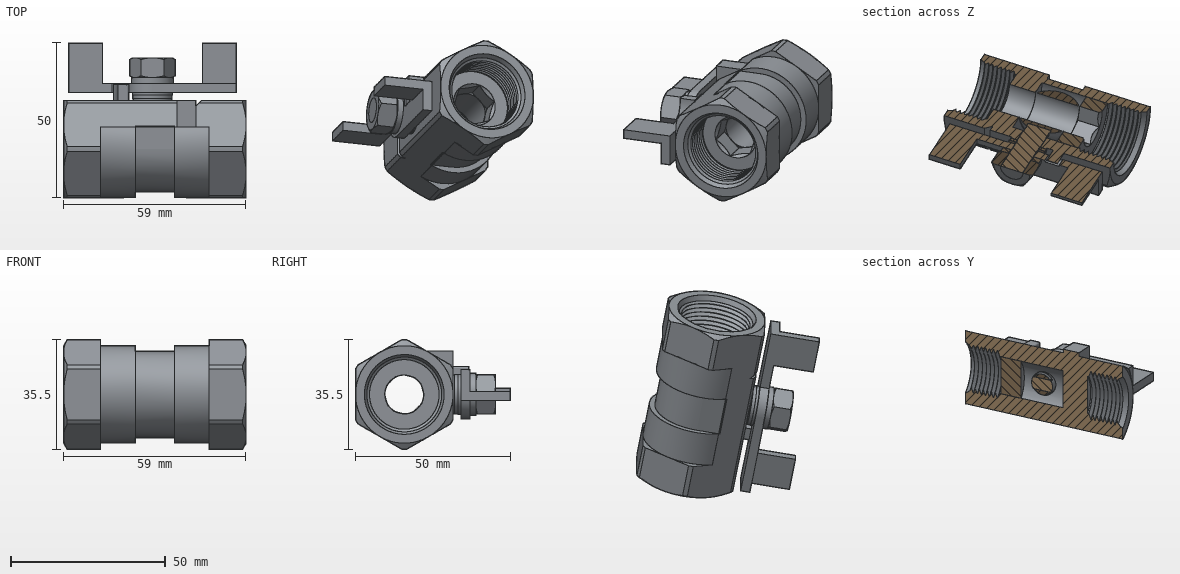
import cadquery as cq
import math

HEX_RATIO = math.cos(math.radians(30))
HEX_TURN = 30.0

BODY_LENGTH = 59.0
HALF_LENGTH = BODY_LENGTH / 2
HEX_FLATS = 31.5
HEX_CORNERS = 35.5
HEX_LENGTH = 12.0
CHAMFER_ANGLE = math.radians(30)
END_CHAMFER = (HEX_CORNERS - HEX_FLATS) / 2 * math.tan(CHAMFER_ANGLE)
NECK_DIAMETER = 27.8
NECK_LENGTH = 12.6
NECK_TOP = 7.5
PAD_BOTTOM = 7.05
PAD_TOP = HEX_FLATS / 2
NOTCH_SIZE = 1.9
RIB_START, RIB_END = 7.2, 13.2
RIB_HEIGHT = 14.1

MOUTH_DIAMETER = 25.8
MOUTH_THROAT = 24.2
MOUTH_DEPTH = 1.7
THREAD_MINOR = 22.5
THREAD_PITCH = 1.5
THREAD_CRESTS = 8
THREAD_HALF_ANGLE = math.radians(32)
THREAD_HEIGHT = THREAD_PITCH / 2 / math.tan(THREAD_HALF_ANGLE)
FIRST_FLANK = (MOUTH_THROAT - THREAD_MINOR) / 2 * math.tan(THREAD_HALF_ANGLE)
THREAD_RUNOUT = 0.5
PORT_DEPTH = MOUTH_DEPTH + FIRST_FLANK + (THREAD_CRESTS - 1) * THREAD_PITCH + THREAD_RUNOUT

STEM_X = -0.8
BALL_DIAMETER = 20.0
FLOW_DIAMETER = 12.5
BALL_HALF_WIDTH = math.sqrt(BALL_DIAMETER**2 - FLOW_DIAMETER**2) / 2
INSERT_HEX = 12.2
INSERT_HEX_ANGLE = 15.0
INSERT_COUNTERSINK = 14.2

STEM_DIAMETER = 8.0
TANG_WIDTH = 4.0
TANG_BOTTOM = 7.8
TANG_TOP = BALL_DIAMETER / 2
BOSS_DIAMETER = 12.5
BOSS_TOP = 16.3
PACKING_DIAMETER = 12.8
WASHER_BORE = 8.1
PACKING_TOP = 17.4
COLLAR_DIAMETER = 13.0
COLLAR_BORE = 8.2
HANDLE_BOTTOM = 18.25
HANDLE_THICKNESS = 3.0
HANDLE_TOP = HANDLE_BOTTOM + HANDLE_THICKNESS
SPRING_WASHER_DIAMETER = 13.7
SPRING_WASHER_TOP = 23.1
NUT_FLATS = 12.8
NUT_CORNERS = NUT_FLATS / HEX_RATIO
NUT_HEIGHT = 6.4
NUT_TOP = SPRING_WASHER_TOP + NUT_HEIGHT

HANDLE_HALF_LENGTH = 27.1
HUB_RADIUS = 8.0
TAB_LENGTH = 11.0
TAB_TOP = 34.25
ARM_INNER_EDGE = 2.0
STOP_WALL = 13.0
STOP_FLOOR = -0.5
STOP_FILLET = 0.5

LUG_TOP = 20.85
LUG_OUTER = -12.6
LUG_WAIST = -11.2
LUG_INNER = -7.6
LUG_Z_LOW = -0.1
LUG_Z_SHOULDER = 3.8
LUG_Z_HIGH = 9.05
LUG_CORNER_RADIUS = 0.6
LUG_CLEARANCE_RADIUS = 8.4


def cylinder_x(diameter, start, end):
    """Solid round bar along X."""
    return cq.Workplane("YZ", origin=(start, 0, 0)).circle(diameter / 2).extrude(end - start)


def hexagon_x(flats, start, end, angle=0.0):
    """Hexagonal bar along X, with flats facing +Y and -Y when the angle is zero."""
    corners = flats / HEX_RATIO
    bar = cq.Workplane("YZ", origin=(start, 0, 0)).polygon(6, corners).extrude(end - start)
    return bar.rotate((0, 0, 0), (1, 0, 0), HEX_TURN + angle)


def block(x, y, z):
    """Box given by its (low, high) limits on each axis."""
    size = [high - low for low, high in (x, y, z)]
    return cq.Workplane("XY").box(*size, centered=False).translate((x[0], y[0], z[0]))


def stem_plane(height):
    """Sketch plane across the stem axis: local x is +X, local y is +Z, extrusion goes to -Y."""
    return cq.Workplane(cq.Plane((STEM_X, height, 0), (1, 0, 0), (0, -1, 0)))


def disc(diameter, bottom, top, bore=None):
    """Round disc on the stem axis, with an optional bore."""
    sketch = stem_plane(top).circle(diameter / 2)
    if bore:
        sketch = sketch.circle(bore / 2)
    return sketch.extrude(top - bottom)


def revolve_x(points):
    """Solid of revolution about X from (x, radius) points that start and end on the axis."""
    return cq.Workplane("XY").polyline(points).close().revolve(360, (0, 0, 0), (1, 0, 0))


def hexagonal_bar():
    """Full-length hexagon with trimmed corners and conical ends."""
    envelope = revolve_x([
        (-HALF_LENGTH, 0),
        (-HALF_LENGTH, HEX_FLATS / 2),
        (-HALF_LENGTH + END_CHAMFER, HEX_CORNERS / 2),
        (HALF_LENGTH - END_CHAMFER, HEX_CORNERS / 2),
        (HALF_LENGTH, HEX_FLATS / 2),
        (HALF_LENGTH, 0),
    ])
    return hexagon_x(HEX_FLATS, -HALF_LENGTH, HALF_LENGTH).intersect(envelope)


def threaded_port():
    """Cutter for the port at the -X end, with the thread as separate ring grooves."""
    first_crest = -HALF_LENGTH + MOUTH_DEPTH + FIRST_FLANK
    crest_radius = THREAD_MINOR / 2
    points = [
        (-HALF_LENGTH, 0),
        (-HALF_LENGTH, MOUTH_DIAMETER / 2),
        (-HALF_LENGTH + MOUTH_DEPTH, MOUTH_THROAT / 2),
        (first_crest, crest_radius),
    ]
    for groove in range(THREAD_CRESTS - 1):
        start = first_crest + groove * THREAD_PITCH
        points.append((start + THREAD_PITCH / 2, crest_radius + THREAD_HEIGHT))
        points.append((start + THREAD_PITCH, crest_radius))
    port_end = -HALF_LENGTH + PORT_DEPTH
    points.append((port_end, crest_radius))
    points.append((port_end, 0))
    return revolve_x(points)


def stop_lug():
    """Lug that limits the handle travel, hollowed on its outer side."""
    rise = LUG_Z_HIGH - LUG_Z_SHOULDER
    run = LUG_WAIST - LUG_OUTER
    hollow_radius = (rise**2 + run**2) / (2 * run)
    half_angle = math.asin(rise / hollow_radius) / 2
    hollow_middle = (
        LUG_WAIST - hollow_radius * (1 - math.cos(half_angle)),
        LUG_Z_HIGH - hollow_radius * math.sin(half_angle),
    )
    lug = (
        stem_plane(LUG_TOP)
        .moveTo(LUG_OUTER, LUG_Z_LOW)
        .lineTo(LUG_INNER, LUG_Z_LOW)
        .lineTo(LUG_INNER, LUG_Z_HIGH)
        .lineTo(LUG_WAIST, LUG_Z_HIGH)
        .threePointArc(hollow_middle, (LUG_OUTER, LUG_Z_SHOULDER))
        .close()
        .extrude(LUG_TOP - PAD_TOP)
    )
    rounded_corners = [(LUG_OUTER, LUG_Z_LOW), (LUG_INNER, LUG_Z_HIGH)]
    for x, z in rounded_corners:
        corner = cq.selectors.NearestToPointSelector((STEM_X + x, (LUG_TOP + PAD_TOP) / 2, z))
        lug = lug.edges("|Y").edges(corner).fillet(LUG_CORNER_RADIUS)
    return lug.cut(disc(2 * LUG_CLEARANCE_RADIUS, PAD_TOP, LUG_TOP))


def make_body():
    bar = hexagonal_bar()
    inner_end = HALF_LENGTH - HEX_LENGTH
    neck_end = NECK_LENGTH / 2
    half_neck = NECK_DIAMETER / 2
    reach = HEX_CORNERS / 2

    between = block((-inner_end, inner_end), (-reach, PAD_BOTTOM), (-reach, reach))
    body = bar.cut(between)

    for start, end in ((-inner_end, -neck_end), (neck_end, inner_end)):
        body = body.union(cylinder_x(HEX_FLATS, start, end))
    body = body.union(cylinder_x(NECK_DIAMETER, -neck_end, neck_end))
    body = body.union(block((-neck_end, neck_end), (0, NECK_TOP), (-half_neck, half_neck)))

    notch = (
        cq.Workplane("XY", origin=(0, 0, -reach))
        .moveTo(RIB_END, PAD_TOP)
        .lineTo(RIB_END + NOTCH_SIZE, PAD_TOP)
        .lineTo(RIB_END, PAD_TOP - NOTCH_SIZE)
        .close()
        .extrude(2 * reach)
    )
    body = body.cut(notch)

    body = body.union(block((RIB_START, RIB_END), (PAD_BOTTOM, PAD_TOP), (0, RIB_HEIGHT)))
    body = body.union(stop_lug())
    body = body.union(disc(BOSS_DIAMETER, PAD_BOTTOM, BOSS_TOP))

    port = threaded_port()
    body = body.cut(port).cut(port.mirror("YZ"))
    chamber_end = STEM_X + BALL_HALF_WIDTH
    body = body.cut(cylinder_x(THREAD_MINOR, -HALF_LENGTH + PORT_DEPTH, chamber_end))
    body = body.cut(cylinder_x(FLOW_DIAMETER, chamber_end, HALF_LENGTH))
    return body.cut(disc(STEM_DIAMETER, 0, BOSS_TOP))


def make_insert():
    """Ring that holds the ball, with a countersunk hexagonal hole for its key."""
    face = -HALF_LENGTH + PORT_DEPTH
    back = STEM_X - BALL_HALF_WIDTH
    depth = (INSERT_COUNTERSINK - INSERT_HEX) / 2
    countersink = revolve_x([
        (face, 0),
        (face, INSERT_COUNTERSINK / 2),
        (face + depth, INSERT_HEX / 2),
        (face + depth, 0),
    ])
    ring = cylinder_x(THREAD_MINOR, face, back)
    return ring.cut(hexagon_x(INSERT_HEX, face, back, INSERT_HEX_ANGLE)).cut(countersink)


def make_stem():
    """Round stem with a flat tang that turns the ball."""
    half_tang = TANG_WIDTH / 2
    flat = block((STEM_X - STEM_DIAMETER, STEM_X + STEM_DIAMETER), (TANG_BOTTOM, TANG_TOP),
                 (-half_tang, half_tang))
    tang = disc(STEM_DIAMETER, TANG_BOTTOM, TANG_TOP).intersect(flat)
    return disc(STEM_DIAMETER, TANG_TOP, NUT_TOP).union(tang)


def make_ball(stem):
    sphere = cq.Workplane("XY").sphere(BALL_DIAMETER / 2).translate((STEM_X, 0, 0))
    bored = sphere.cut(cylinder_x(FLOW_DIAMETER, -HALF_LENGTH, HALF_LENGTH))
    return bored.cut(stem)


def make_handle():
    """Butterfly handle: two offset arms on a round hub, each with a finger tab."""
    tab_start = HANDLE_HALF_LENGTH - TAB_LENGTH
    arm = block((0, HANDLE_HALF_LENGTH), (HANDLE_BOTTOM, HANDLE_TOP), (-ARM_INNER_EDGE, HUB_RADIUS))
    tab = block(
        (tab_start, HANDLE_HALF_LENGTH),
        (HANDLE_BOTTOM, TAB_TOP),
        (-ARM_INNER_EDGE, HANDLE_THICKNESS - ARM_INNER_EDGE),
    )
    wing = arm.union(tab)
    wings = wing.union(wing.rotate((0, 0, 0), (0, 1, 0), 180)).translate((STEM_X, 0, 0))
    recess = block(
        (STEM_X - STOP_WALL, STEM_X),
        (HANDLE_BOTTOM, HANDLE_TOP),
        (STOP_FLOOR, HUB_RADIUS),
    )
    hub = disc(2 * HUB_RADIUS, HANDLE_BOTTOM, HANDLE_TOP)
    handle = wings.cut(recess).union(hub)
    hub_corner = (STEM_X - math.sqrt(HUB_RADIUS**2 - STOP_FLOOR**2), HANDLE_BOTTOM, STOP_FLOOR)
    corner_edge = cq.selectors.NearestToPointSelector(hub_corner)
    handle = handle.edges("|Y").edges(corner_edge).fillet(STOP_FILLET)
    return handle.cut(disc(STEM_DIAMETER, HANDLE_BOTTOM, HANDLE_TOP))


def make_nut():
    """Hexagon nut chamfered on both faces."""
    chamfer_run = (NUT_CORNERS - NUT_FLATS) / 2
    chamfer_rise = chamfer_run * math.tan(CHAMFER_ANGLE)
    envelope = disc(NUT_CORNERS, SPRING_WASHER_TOP, NUT_TOP)
    envelope = envelope.edges("%CIRCLE").chamfer(chamfer_rise, chamfer_run)
    prism = stem_plane(NUT_TOP).polygon(6, NUT_CORNERS).circle(STEM_DIAMETER / 2).extrude(NUT_HEIGHT)
    return prism.intersect(envelope)


body = make_body()
insert = make_insert()
stem = make_stem()
ball = make_ball(stem)
packing_ring = disc(PACKING_DIAMETER, BOSS_TOP, PACKING_TOP, WASHER_BORE)
collar = disc(COLLAR_DIAMETER, PACKING_TOP, HANDLE_BOTTOM, COLLAR_BORE)
handle = make_handle()
spring_washer = disc(SPRING_WASHER_DIAMETER, HANDLE_TOP, SPRING_WASHER_TOP, WASHER_BORE)
nut = make_nut()

result = cq.Compound.makeCompound([
    body.val(),
    insert.val(),
    ball.val(),
    stem.val(),
    packing_ring.val(),
    collar.val(),
    handle.val(),
    spring_washer.val(),
    nut.val(),
])